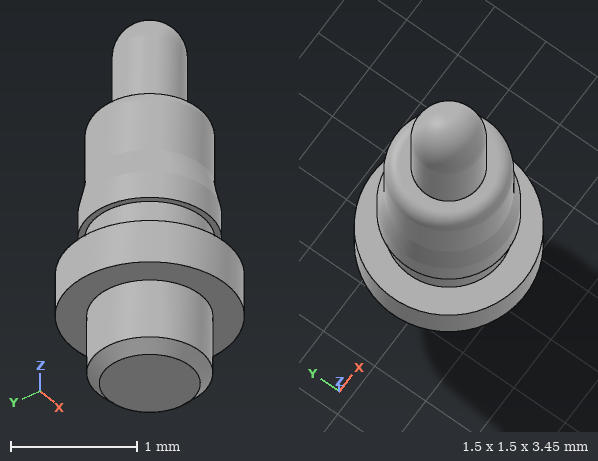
import cadquery as cq
import math

tail_radius = 0.5
flange_radius = 0.75
barrel_radius = 0.515
band_radius = 0.57
plunger_radius = 0.3

flange_bottom = 0.65
flange_top = 1.05
band_bottom = 1.4
band_top = 1.65
taper_top = 1.9
barrel_top = 2.5
overall_height = 3.45

tail_chamfer = 0.1
barrel_fillet = 0.12

dome_base = overall_height - plunger_radius
arc_midpoint = math.sqrt(0.5)
fillet_center_radius = barrel_radius - barrel_fillet
fillet_center_height = barrel_top - barrel_fillet


def pin_profile():
    """Half section of the pin as radius (X) against height (Z), from the bottom up."""
    profile = cq.Workplane("XZ").moveTo(0, 0)

    profile = (
        profile.lineTo(tail_radius - tail_chamfer, 0)
        .lineTo(tail_radius, tail_chamfer)
        .lineTo(tail_radius, flange_bottom)
    )

    profile = (
        profile.lineTo(flange_radius, flange_bottom)
        .lineTo(flange_radius, flange_top)
        .lineTo(barrel_radius, flange_top)
    )

    profile = (
        profile.lineTo(barrel_radius, band_bottom)
        .lineTo(band_radius, band_bottom)
        .lineTo(band_radius, band_top)
        .lineTo(barrel_radius, taper_top)
    )

    profile = (
        profile.lineTo(barrel_radius, fillet_center_height)
        .threePointArc(
            (
                fillet_center_radius + barrel_fillet * arc_midpoint,
                fillet_center_height + barrel_fillet * arc_midpoint,
            ),
            (fillet_center_radius, barrel_top),
        )
        .lineTo(plunger_radius, barrel_top)
    )

    return (
        profile.lineTo(plunger_radius, dome_base)
        .threePointArc(
            (plunger_radius * arc_midpoint, dome_base + plunger_radius * arc_midpoint),
            (0, overall_height),
        )
        .close()
    )


result = pin_profile().revolve(360, (0, 0, 0), (0, 1, 0))